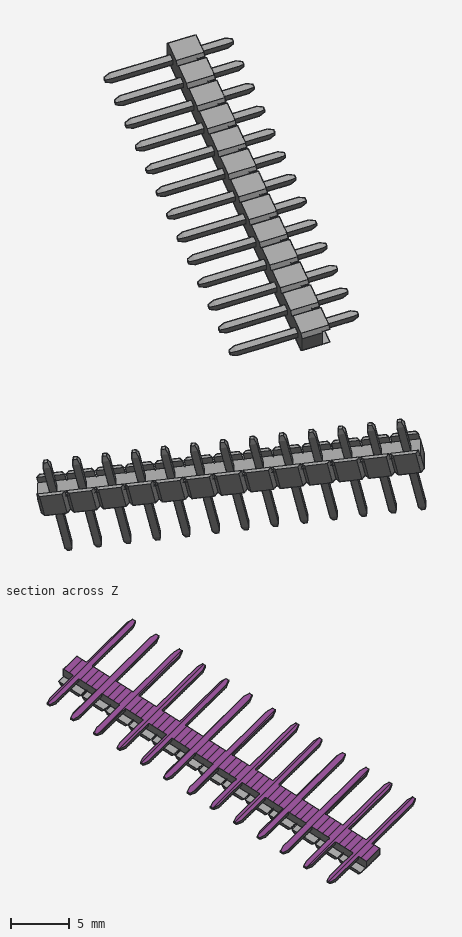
import cadquery as cq

pin_count = 13
pitch = 2.54

housing_length = pin_count * pitch
housing_height = 2.5
housing_depth = 2.54
corner_width = 0.3
corner_height = 0.4
channel_height = 1.85
channel_depth = 0.7

pin_width = 0.64
pin_length = 11.6
front_reach = 6.06
tip_width = pin_width / 2
tip_length = 0.55
pin_offset = 1.17

left_end = -housing_length / 2
pin_front = -pin_length / 2
pin_back = pin_length / 2
housing_front = pin_front + front_reach
housing_back = housing_front + housing_depth


def segment_outline(index):
    """Octagonal XZ outline of one pitch of the housing, on its front plane."""
    half_width = pitch / 2
    half_height = housing_height / 2
    flat_x = half_width - corner_width
    flat_z = half_height - corner_height
    center_x = left_end + (index + 0.5) * pitch
    points = [
        (-half_width, -flat_z),
        (-flat_x, -half_height),
        (flat_x, -half_height),
        (half_width, -flat_z),
        (half_width, flat_z),
        (flat_x, half_height),
        (-flat_x, half_height),
        (-half_width, flat_z),
    ]
    front_plane = cq.Workplane("XZ", origin=(center_x, housing_front, 0))
    return front_plane.polyline(points).close()


def make_housing():
    """Row of octagonal segments with a channel along the back face."""
    housing = segment_outline(0).extrude(-housing_depth)
    for index in range(1, pin_count):
        housing = housing.union(segment_outline(index).extrude(-housing_depth))
    channel = cq.Workplane("XY").box(housing_length, channel_depth, channel_height)
    channel_center_y = housing_back - channel_depth / 2
    return housing.cut(channel.translate((0, channel_center_y, 0)))


def make_tip(x, base_y, direction):
    """Tapered square tip from base_y, pointing along +Y (1) or -Y (-1)."""
    return (
        cq.Workplane("XZ", origin=(x, base_y, 0))
        .rect(pin_width, pin_width)
        .workplane(offset=-direction * tip_length)
        .rect(tip_width, tip_width)
        .loft(ruled=True)
    )


def make_pin(x):
    """Square pin with a tapered tip at each end."""
    shaft = cq.Workplane("XY").box(pin_width, pin_length - 2 * tip_length, pin_width)
    shaft = shaft.translate((x, 0, 0))
    front_tip = make_tip(x, pin_front + tip_length, -1)
    back_tip = make_tip(x, pin_back - tip_length, 1)
    return shaft.union(front_tip).union(back_tip)


result = make_housing()
for pin_index in range(pin_count):
    result = result.union(make_pin(left_end + pin_index * pitch + pin_offset))